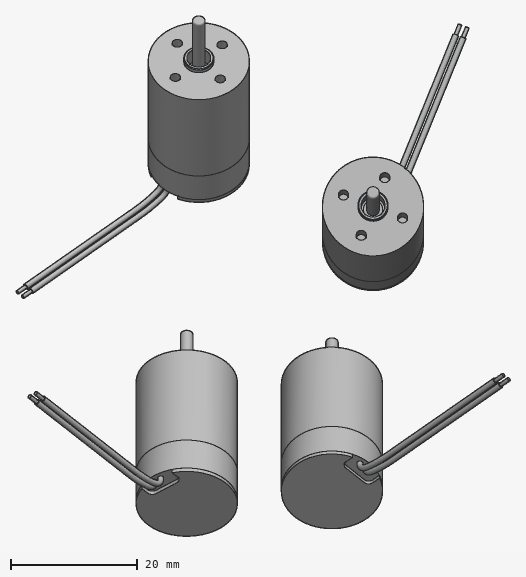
import cadquery as cq


body_radius = 8.0
plate_thickness = 0.7
cap_height = 5.75
housing_height = 18.5
cap_bottom = plate_thickness
housing_bottom = cap_bottom + cap_height
housing_top = housing_bottom + housing_height

boss_radius = 2.4
boss_height = 0.8
boss_chamfer = 0.15
recess_radius = 1.9
recess_depth = 3.0
boss_top = housing_top + boss_height
recess_floor = boss_top - recess_depth

mount_hole_count = 4
mount_hole_diameter = 1.6
mount_circle_radius = 5.0
mount_hole_depth = 3.0

shaft_radius = 1.0
shaft_reach = 10.0
shaft_tip_rounding = 0.3
bushing_radius = 1.5
bushing_length = 3.0
bushing_bottom = recess_floor - bushing_length
shaft_top = housing_top + shaft_reach

notch_width = 6.15
notch_corner_radius = 0.95
notch_wall_y = -5.0

lead_diameter = 0.95
lead_pitch = 1.25
lead_pair_center_x = -0.28
lead_radius = lead_diameter / 2
conductor_diameter = 0.65
conductor_radius = conductor_diameter / 2
conductor_length = 1.8
overall_length = 45.95
lead_underside_drop = 2.45
lead_axis_z = lead_radius - lead_underside_drop
lead_start_y = -6.9
lead_bend_y = -9.2
lead_bend_z = -1.5
lead_straight_y = -13.87
lead_tip_y = body_radius - overall_length
insulation_end_y = lead_tip_y + conductor_length


def cylinder(radius, bottom, top):
    """Solid cylinder on the Z axis."""
    return cq.Workplane("XY").workplane(offset=bottom).circle(radius).extrude(top - bottom)


def make_housing():
    """Front housing with chamfered boss, stepped bore and mounting holes."""
    boss = cylinder(boss_radius, housing_top, boss_top).faces(">Z").edges().chamfer(boss_chamfer)
    recess = cylinder(recess_radius, recess_floor, boss_top)
    bushing_seat = cylinder(bushing_radius, bushing_bottom, recess_floor)
    mount_holes = (
        cq.Workplane("XY")
        .workplane(offset=housing_top)
        .polarArray(mount_circle_radius, 0, 360, mount_hole_count)
        .circle(mount_hole_diameter / 2)
        .extrude(-mount_hole_depth)
    )
    blank = cylinder(body_radius, housing_bottom, housing_top).union(boss)
    return blank.cut(recess).cut(bushing_seat).cut(mount_holes)


def make_bushing():
    """Plain sleeve, flush with the floor of the boss recess."""
    bore = cylinder(shaft_radius, bushing_bottom, recess_floor)
    return cylinder(bushing_radius, bushing_bottom, recess_floor).cut(bore)


def make_shaft():
    """Round shaft with a rounded tip edge."""
    shaft = cylinder(shaft_radius, bushing_bottom, shaft_top)
    return shaft.faces(">Z").edges().fillet(shaft_tip_rounding)


def make_cap():
    """Plain rear section of the motor."""
    return cylinder(body_radius, cap_bottom, housing_bottom)


def make_end_plate():
    """Thin end disc with a round-cornered notch open to its -Y rim."""
    notch_length = body_radius
    notch = (
        cq.Workplane("XY")
        .center(0, notch_wall_y - notch_length / 2)
        .rect(notch_width, notch_length)
        .extrude(plate_thickness)
        .edges("|Z and >Y")
        .fillet(notch_corner_radius)
    )
    return cylinder(body_radius, 0, plate_thickness).cut(notch)


def make_lead(x):
    """One lead: curved run from the cap, straight run, bare conductor tip."""
    start = cq.Vector(x, lead_start_y, cap_bottom)
    bend = cq.Vector(x, lead_bend_y, lead_bend_z)
    straight_start = cq.Vector(x, lead_straight_y, lead_axis_z)
    downward = cq.Vector(0, 0, -1)
    outward = cq.Vector(0, -1, 0)

    curve = cq.Edge.makeSpline([start, bend, straight_start], tangents=[downward, outward])
    start_plane = cq.Plane(origin=start, xDir=(1, 0, 0), normal=downward)
    curve_path = cq.Workplane(cq.Wire.assembleEdges([curve]))
    curved_run = cq.Workplane(start_plane).circle(lead_radius).sweep(curve_path)

    straight_plane = cq.Plane(origin=straight_start, xDir=(1, 0, 0), normal=outward)
    insulation = cq.Workplane(straight_plane).circle(lead_radius).extrude(lead_straight_y - insulation_end_y)
    conductor = cq.Workplane(straight_plane).circle(conductor_radius).extrude(lead_straight_y - lead_tip_y)
    return curved_run.union(insulation).union(conductor)


housing = make_housing()
bushing = make_bushing()
shaft = make_shaft()
cap = make_cap()
end_plate = make_end_plate()
leads = [make_lead(lead_pair_center_x + side * lead_pitch / 2) for side in (-1, 1)]

result = cq.Compound.makeCompound(
    [
        housing.val(),
        bushing.val(),
        shaft.val(),
        cap.val(),
        end_plate.val(),
        *[lead.val() for lead in leads],
    ]
)